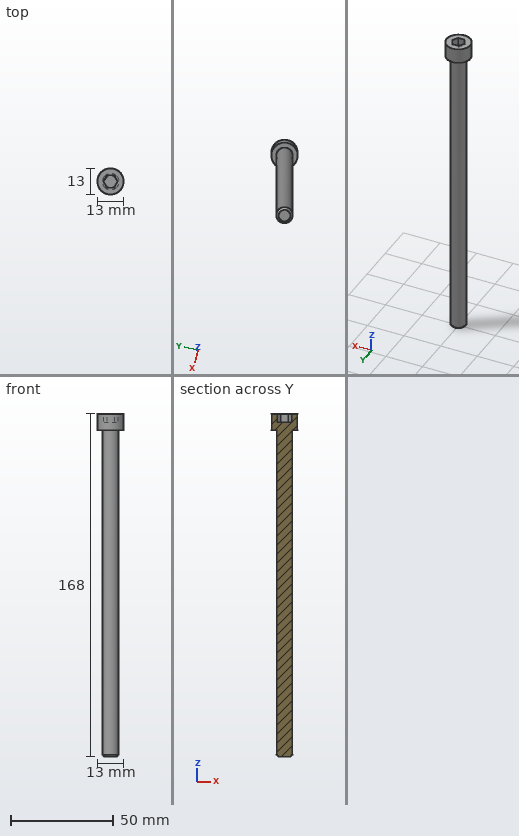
import cadquery as cq
import math

total_length = 168.0
head_diameter = 13.0
shank_diameter = 8.0
head_height = shank_diameter
shank_length = total_length - head_height
tip_chamfer = 1.2

socket_across_flats = 6.0
socket_across_corners = socket_across_flats / math.cos(math.pi / 6)
socket_depth = head_height / 2


def make_shank():
    """Smooth shank with a chamfered tip at the origin."""
    return (
        cq.Workplane("XY")
        .circle(shank_diameter / 2)
        .extrude(shank_length)
        .faces("<Z")
        .chamfer(tip_chamfer)
    )


def make_head():
    """Cylindrical head with a hexagonal socket, two corners along X."""
    return (
        cq.Workplane("XY")
        .workplane(offset=shank_length)
        .circle(head_diameter / 2)
        .extrude(head_height)
        .faces(">Z")
        .workplane()
        .polygon(6, socket_across_corners)
        .cutBlind(-socket_depth)
    )


result = make_shank().union(make_head())